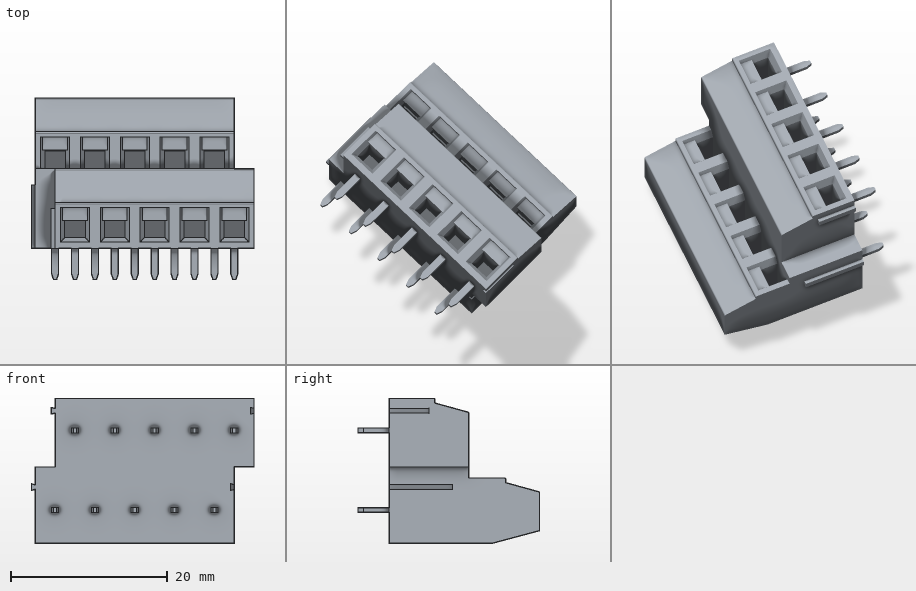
import cadquery as cq


PITCH = 5.08
WAYS = 5
ROW_LENGTH = WAYS * PITCH

BODY_DEPTH = 19.2
UPPER_DEPTH = 2 * PITCH
UPPER_SHIFT_X = PITCH / 2
UPPER_SHIFT_Y = UPPER_DEPTH - BODY_DEPTH
UPPER_SHIFT_Z = 2 * PITCH

LOWER_TOP = 8.34
LIP_Y = 14.88
LIP_HEIGHT = 0.6
EDGE_RADIUS = 0.2
BACK_TOP = 6.55
UNDERCUT_Y = 13.2
UNDERCUT_HEIGHT = 1.6
STEP_Z = 9.75

FUNNEL_WIDTH = 3.7
FUNNEL_DEPTH = 1.0
FUNNEL_TAPER = 0.54
FUNNEL_BACK_Y = 14.22
FUNNEL_FRONT_Y = 9.86
LEDGE_DROP = 0.5
LEDGE_LENGTH = 1.65
LOWER_SILL_LENGTH = 0.18
SILL_DROP = 2.5
HOLE_DEPTH = 6.0

PIN_Z = 4.24
PIN_WIDTH = 0.92
PIN_THICKNESS = 0.62
PIN_LENGTH = 4.0
PIN_TIP_LENGTH = 0.75
PIN_TIP_WIDTH = 0.4
PIN_ROOT = 1.0

RIB_PROJECTION = 0.5
RIB_OUTER_HEIGHT = 0.88
RIB_NECK_HEIGHT = 0.6
LOWER_RIB_Z = 7.17
LOWER_RIB_LENGTH = 8.1
UPPER_RIB_Z = 16.9
UPPER_RIB_LENGTH = 5.1


def extrude_along_x(points):
    """Row-long prism with the given (Y, Z) outline."""
    return cq.Workplane("YZ").polyline(points).close().extrude(ROW_LENGTH)


def round_edge(body, y, z):
    """Round the edge along X that passes through the given (Y, Z) point."""
    margin = EDGE_RADIUS / 2
    near_edge = cq.selectors.BoxSelector(
        (-margin, y - margin, z - margin),
        (ROW_LENGTH + margin, y + margin, z + margin),
    )
    return body.edges("|X").edges(near_edge).fillet(EDGE_RADIUS)


def make_row(front_points):
    """Row with the common sloped back and flat top, closed by the given front points."""
    back_points = [
        (BODY_DEPTH, BACK_TOP),
        (LIP_Y, LOWER_TOP - LIP_HEIGHT),
        (LIP_Y, LOWER_TOP),
    ]
    row = extrude_along_x(back_points + front_points)
    row = round_edge(row, BODY_DEPTH, BACK_TOP)
    return round_edge(row, LIP_Y, LOWER_TOP)


def make_body():
    lower = make_row([
        (UPPER_DEPTH, LOWER_TOP),
        (UPPER_DEPTH, STEP_Z),
        (0, STEP_Z),
        (0, 0),
        (UNDERCUT_Y, 0),
        (BODY_DEPTH, UNDERCUT_HEIGHT),
    ])
    front_y = -UPPER_SHIFT_Y
    bottom_z = STEP_Z - UPPER_SHIFT_Z
    upper = make_row([
        (front_y, LOWER_TOP),
        (front_y, bottom_z),
        (BODY_DEPTH, bottom_z),
    ])
    return lower.union(upper.translate((UPPER_SHIFT_X, UPPER_SHIFT_Y, UPPER_SHIFT_Z)))


def box_between(x_half, y_front, y_back, z_bottom, z_top):
    """Box centred on X = 0 between the given Y and Z limits."""
    return cq.Workplane("XY").box(
        2 * x_half, y_back - y_front, z_top - z_bottom, centered=(True, False, False)
    ).translate((0, y_front, z_bottom))


def make_opening(front_y, front_taper):
    """Cutter for one way at the lower row's place: funnel, clamp ledge and wire hole."""
    half = FUNNEL_WIDTH / 2
    hole_half = half - FUNNEL_TAPER
    floor_z = LOWER_TOP - FUNNEL_DEPTH
    ledge_z = LOWER_TOP - LEDGE_DROP
    ledge_front_y = FUNNEL_BACK_Y - LEDGE_LENGTH
    hole_front_y = front_y + front_taper

    top = [
        (-half, front_y),
        (half, front_y),
        (half, FUNNEL_BACK_Y),
        (-half, FUNNEL_BACK_Y),
    ]
    bottom = [
        (-hole_half, hole_front_y),
        (hole_half, hole_front_y),
        (hole_half, FUNNEL_BACK_Y),
        (-hole_half, FUNNEL_BACK_Y),
    ]
    funnel = (
        cq.Workplane("XY", origin=(0, 0, floor_z)).polyline(bottom).close()
        .workplane(offset=FUNNEL_DEPTH).polyline(top).close().loft(ruled=True)
    )
    ledge = box_between(half, ledge_front_y, FUNNEL_BACK_Y, floor_z, ledge_z)
    hole = box_between(hole_half, hole_front_y, ledge_front_y, LOWER_TOP - HOLE_DEPTH, floor_z)
    return funnel.cut(ledge).union(hole)


def make_sill():
    """Sill under the clamp ledge of a lower way, narrowing its wire hole."""
    back_y = FUNNEL_BACK_Y - LEDGE_LENGTH
    front_y = back_y - LOWER_SILL_LENGTH
    return box_between(FUNNEL_WIDTH / 2, front_y, back_y, LOWER_TOP - HOLE_DEPTH, LOWER_TOP - SILL_DROP)


def make_pin():
    """Flat pin along -Y with a narrowed tip."""
    half = PIN_WIDTH / 2
    tip_half = PIN_TIP_WIDTH / 2
    taper_y = PIN_TIP_LENGTH - PIN_LENGTH
    outline = [
        (-half, PIN_ROOT),
        (-half, taper_y),
        (-tip_half, -PIN_LENGTH),
        (tip_half, -PIN_LENGTH),
        (half, taper_y),
        (half, PIN_ROOT),
    ]
    return (
        cq.Workplane("XY", origin=(0, 0, PIN_Z - PIN_THICKNESS / 2))
        .polyline(outline).close().extrude(PIN_THICKNESS)
    )


def make_dovetail(x, z, length):
    """Dovetail bar whose neck lies on the plane X = x, widening toward -X."""
    neck = RIB_NECK_HEIGHT / 2
    outer = RIB_OUTER_HEIGHT / 2
    outline = [
        (x, z - neck),
        (x - RIB_PROJECTION, z - outer),
        (x - RIB_PROJECTION, z + outer),
        (x, z + neck),
    ]
    return cq.Workplane("XZ").polyline(outline).close().extrude(-length)


result = make_body()

lower_opening = make_opening(UPPER_DEPTH, 0).cut(make_sill())
upper_opening = make_opening(FUNNEL_FRONT_Y, FUNNEL_TAPER)
pin = make_pin()

for way in range(WAYS):
    lower_x = (way + 0.5) * PITCH
    upper_shift = (lower_x + UPPER_SHIFT_X, UPPER_SHIFT_Y, UPPER_SHIFT_Z)
    result = result.cut(lower_opening.translate((lower_x, 0, 0)))
    result = result.cut(upper_opening.translate(upper_shift))
    result = result.union(pin.translate((lower_x, 0, 0)))
    result = result.union(pin.translate((lower_x + UPPER_SHIFT_X, 0, UPPER_SHIFT_Z)))

dovetails = [
    (0, LOWER_RIB_Z, LOWER_RIB_LENGTH),
    (UPPER_SHIFT_X, UPPER_RIB_Z, UPPER_RIB_LENGTH),
]
for row_x, rib_z, rib_length in dovetails:
    result = result.union(make_dovetail(row_x, rib_z, rib_length))
    result = result.cut(make_dovetail(row_x + ROW_LENGTH, rib_z, rib_length))